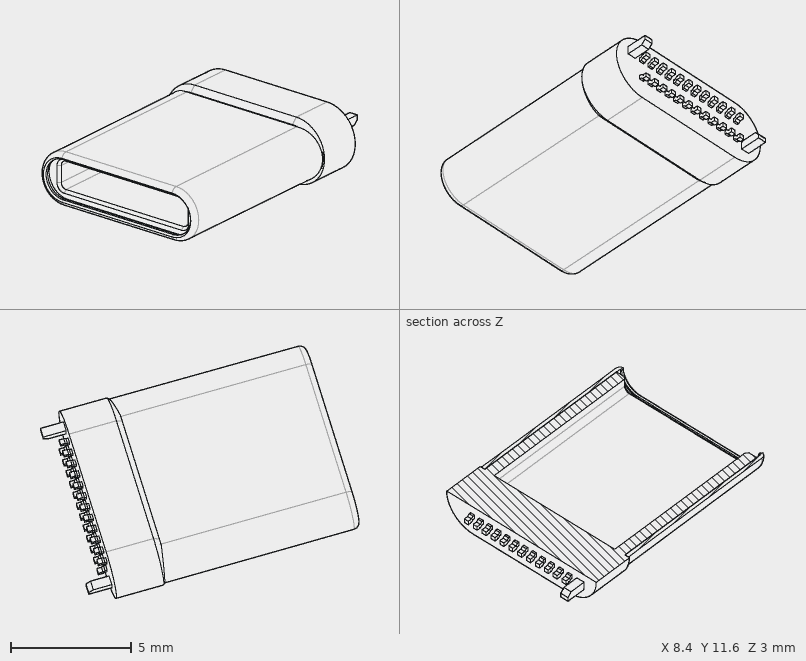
import cadquery as cq
import math

TOTAL_LENGTH = 11.59

COLLAR_WIDTH = 8.4
COLLAR_HEIGHT = 3.0
COLLAR_LENGTH = 2.31
COLLAR_CHAMFER = 0.25

TAG_LENGTH = 1.0
TAG_OFFSET = 3.31
TAG_WIDTH = 0.4
TAG_INNER = 0.39
TAG_OUTER = 0.8
TAG_CHAMFER = 0.2

PIN_COUNT = 12
PIN_PITCH = 0.5
PIN_WIDTH = 0.22
PIN_THICKNESS = 0.2
PIN_LENGTH = 0.38
PIN_TIP_LENGTH = 0.2
PIN_STEP = 0.09
PIN_TIP_TOP = 0.67

SHELL_WIDTH = 8.25
SHELL_HEIGHT = 2.4
SHELL_WALL = 0.21
RIM_RADIUS = 0.28
SHELL_DRAFT = 0.1
LIP_HEIGHT = 0.08
LIP_LAND = 0.1

INSERT_RECESS = 0.39
CAVITY_WIDTH = 6.75
CAVITY_HEIGHT = 1.27
CAVITY_CORNER = 0.25
CAVITY_CHAMFER = 0.13

RIM_EDGE = RIM_RADIUS - math.sqrt(RIM_RADIUS**2 - (RIM_RADIUS - SHELL_WALL) ** 2)
LIP_START = RIM_EDGE + LIP_HEIGHT
LIP_END = LIP_START + LIP_LAND
TAG_TIP = RIM_EDGE + TOTAL_LENGTH
COLLAR_REAR = TAG_TIP - TAG_LENGTH
COLLAR_FRONT = COLLAR_REAR - COLLAR_LENGTH
SOCKET_FLOOR = COLLAR_FRONT + COLLAR_CHAMFER
BORE_WIDTH = SHELL_WIDTH - 2 * SHELL_WALL
BORE_HEIGHT = SHELL_HEIGHT - 2 * SHELL_WALL


def section(y):
    """Workplane across the plug at the given Y, facing the rear; local X and Y run along -X and Z."""
    return cq.Workplane(cq.Plane(origin=(0, y, 0), xDir=(-1, 0, 0), normal=(0, 1, 0)))


def stadium(width, height, front, rear):
    """Bar with a stadium section, running from front to rear along Y."""
    return section(front).slot2D(width, height).extrude(rear - front)


def make_tube():
    """Solid outside of the shell, with a rounded rim."""
    tube = section(0).slot2D(SHELL_WIDTH, SHELL_HEIGHT).extrude(SOCKET_FLOOR, taper=-SHELL_DRAFT)
    return tube.faces("<Y").edges().fillet(RIM_RADIUS)


def make_shell():
    """Tube with a rounded rim, a stadium bore and an inward lip at its mouth, seated in the collar."""
    bore = stadium(BORE_WIDTH, BORE_HEIGHT, LIP_END, SOCKET_FLOOR)
    lip_opening = stadium(BORE_WIDTH - 2 * LIP_HEIGHT, BORE_HEIGHT - 2 * LIP_HEIGHT, 0, LIP_END)
    lead_in = (
        section(0)
        .slot2D(BORE_WIDTH + 2 * RIM_EDGE, BORE_HEIGHT + 2 * RIM_EDGE)
        .extrude(LIP_START, taper=45)
    )
    return make_tube().cut(bore).cut(lip_opening).cut(lead_in)


def make_collar():
    """Stadium block, chamfered at its front, with a socket for the end of the shell."""
    collar = stadium(COLLAR_WIDTH, COLLAR_HEIGHT, COLLAR_FRONT, COLLAR_REAR)
    collar = collar.faces("<Y").edges().chamfer(COLLAR_CHAMFER)
    return collar.cut(make_tube())


def make_insert():
    """Liner of the shell bore: a blind cavity with rounded corners and a chamfered mouth."""
    liner = stadium(BORE_WIDTH, BORE_HEIGHT, INSERT_RECESS, SOCKET_FLOOR)
    cavity = (
        section(INSERT_RECESS)
        .rect(CAVITY_WIDTH, CAVITY_HEIGHT)
        .extrude(SOCKET_FLOOR - INSERT_RECESS)
        .edges("|Y")
        .fillet(CAVITY_CORNER)
    )
    flare = (
        section(INSERT_RECESS)
        .sketch()
        .rect(CAVITY_WIDTH + 2 * CAVITY_CHAMFER, CAVITY_HEIGHT + 2 * CAVITY_CHAMFER)
        .vertices()
        .fillet(CAVITY_CORNER + CAVITY_CHAMFER)
        .finalize()
        .extrude(CAVITY_CHAMFER, taper=45)
    )
    return liner.cut(cavity).cut(flare)


def side_profile(points, width, x):
    """Bar with the given (Y, Z) outline, centred on x."""
    return cq.Workplane("YZ").polyline(points).close().extrude(width / 2, both=True).translate((x, 0, 0))


def make_tag():
    """Upper solder tag, with the inner corner of its tip cut off."""
    outline = [
        (COLLAR_REAR, TAG_INNER),
        (TAG_TIP - TAG_CHAMFER, TAG_INNER),
        (TAG_TIP, TAG_INNER + TAG_CHAMFER),
        (TAG_TIP, TAG_OUTER),
        (COLLAR_REAR, TAG_OUTER),
    ]
    return side_profile(outline, TAG_WIDTH, TAG_OFFSET)


def make_pin(x):
    """Upper contact pin: leaves the collar, steps outward at 45 degrees and ends in a flat tip."""
    tip = COLLAR_REAR + PIN_LENGTH
    step_end = tip - PIN_TIP_LENGTH
    step_start = step_end - PIN_STEP
    tip_bottom = PIN_TIP_TOP - PIN_THICKNESS
    outline = [
        (COLLAR_REAR, tip_bottom - PIN_STEP),
        (step_start, tip_bottom - PIN_STEP),
        (step_end, tip_bottom),
        (tip, tip_bottom),
        (tip, PIN_TIP_TOP),
        (step_end, PIN_TIP_TOP),
        (step_start, PIN_TIP_TOP - PIN_STEP),
        (COLLAR_REAR, PIN_TIP_TOP - PIN_STEP),
    ]
    return side_profile(outline, PIN_WIDTH, x)


def make_core():
    """Collar and insert in one piece with the terminals, each repeated half a turn about the plug axis."""
    core = make_collar().union(make_insert())
    terminals = [make_tag()]
    for index in range(PIN_COUNT):
        x = (index - (PIN_COUNT - 1) / 2) * PIN_PITCH
        terminals.append(make_pin(x))
    for terminal in terminals:
        opposite = terminal.rotate((0, 0, 0), (0, 1, 0), 180)
        core = core.union(terminal).union(opposite)
    return core


shell = make_shell()
core = make_core()

result = cq.Compound.makeCompound([shell.val(), core.val()])